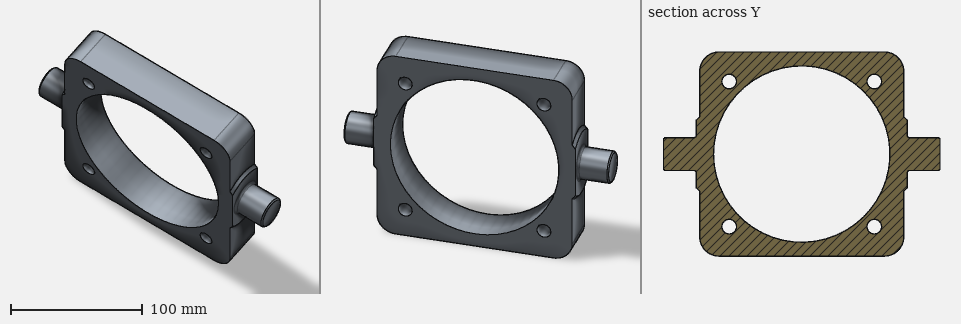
import cadquery as cq

overall_length = 210.0
side = 155.0
thickness = 32.0
corner_radius = 15.0
bore_diameter = 133.5

hole_diameter = 11.0
hole_pitch = 110.0

pad_span = 160.0
pad_face_diameter = 51.7
pad_height = (pad_span - side) / 2
pad_flare = 2.5

pin_diameter = 25.0
pin_root_radius = 1.9
pin_tip_chamfer = 1.0


def make_frame():
    """Rounded square plate without its bore or holes."""
    return (
        cq.Workplane("XZ")
        .rect(side, side)
        .extrude(thickness / 2, both=True)
        .edges("|Y")
        .fillet(corner_radius)
    )


def make_trunnion():
    """Pad and pin on the +X side, revolved about X: conical pad rim, concave pin root."""
    base_x = side / 2
    pad_x = pad_span / 2
    tip_x = overall_length / 2
    pad_face_radius = pad_face_diameter / 2
    pin_radius = pin_diameter / 2
    embedded_x = base_x - pad_height
    outline = (
        cq.Workplane("XY")
        .moveTo(embedded_x, 0)
        .lineTo(embedded_x, pad_face_radius + pad_flare)
        .lineTo(base_x, pad_face_radius + pad_flare)
        .lineTo(pad_x, pad_face_radius)
        .lineTo(pad_x, pin_radius + pin_root_radius)
        .radiusArc((pad_x + pin_root_radius, pin_radius), -pin_root_radius)
        .lineTo(tip_x - pin_tip_chamfer, pin_radius)
        .lineTo(tip_x, pin_radius - pin_tip_chamfer)
        .lineTo(tip_x, 0)
        .close()
    )
    trunnion = outline.revolve(360, (0, 0, 0), (1, 0, 0))
    thickness_limit = cq.Workplane("XY").box(overall_length, thickness, side)
    return trunnion.intersect(thickness_limit)


def cut_openings(body):
    """Cut the central bore and the four mounting holes through the thickness."""
    return (
        body.faces("<Y")
        .workplane(origin=(0, 0, 0))
        .circle(bore_diameter / 2)
        .cutThruAll()
        .faces("<Y")
        .workplane(origin=(0, 0, 0))
        .rect(hole_pitch, hole_pitch, forConstruction=True)
        .vertices()
        .circle(hole_diameter / 2)
        .cutThruAll()
    )


trunnion = make_trunnion()
body = make_frame().union(trunnion).union(trunnion.mirror("YZ"))
result = cut_openings(body)